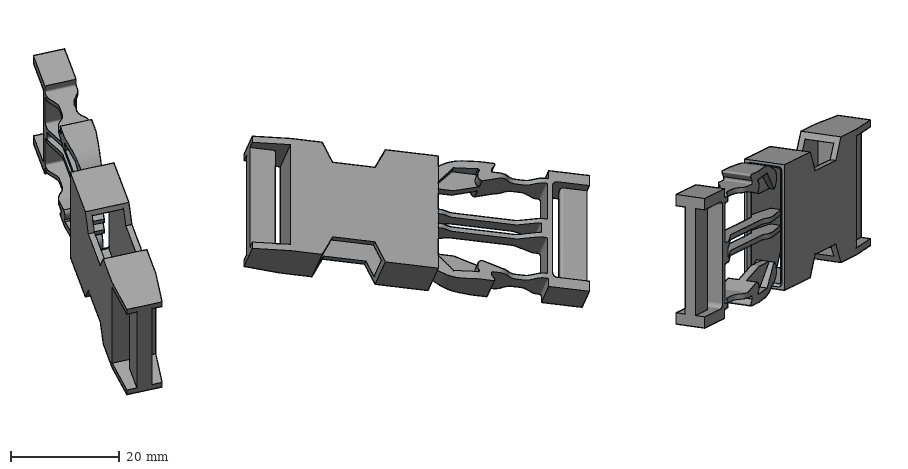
import cadquery as cq

LENGTH = 64.1
OVERALL_Y = 8.4
OVERALL_Z = 25.2

PLUG_HALF_Y = 3.0
FRAME_HALF_Z = 12.45
FRAME_END_X = 7.75
WINDOW_END_X = 7.0
WINDOW_HALF_Z = 10.25
WINDOW_CORNER_R = 0.9
CROSS_WALL_END_X = 7.95
PLUG_BAR_END_X = 5.0
PLUG_BAR_HALF_Y = 1.1
PLUG_BAR_EDGE_R = 0.5
ROOT_R = 0.4

ARM_TOP_Z = 10.7
ARM_BOTTOM_Z = 9.7
ARM_SLOPE_X = 16.7
HEAD_TOP_Z = OVERALL_Z / 2
HEAD_BOTTOM_Z = 7.0
HEAD_BOTTOM_X = 25.3
BARB_TIP_X = 17.75
BARB_EDGE_R = 0.25
BARB_ROOT_X = 18.6
BARB_ROOT_Z = 11.35
NOSE_ARC_X = 24.1
NOSE_SHOULDER = (27.9, 11.55)
NOSE_SHOULDER_MID = (26.0, 12.3)
NOSE_BEND = (29.75, 10.6)
NOSE_TIP = (30.65, 8.6)
NOSE_BOTTOM_X = 29.3
WAIST_HALF_Y = 1.4
WAIST_IN_X = (9.15, 11.5)
WAIST_OUT_X = (14.55, 16.15)
WAIST_IN_R = 1.8
WAIST_OUT_R = 2.4
HEAD_TAPER_X = 21.15
NOSE_END_X = 31.7
NOSE_END_HALF_Y = 1.5
WEB_HALF_Y = 0.85
POCKET_TOP_Z = 11.0
POCKET_TOP_X = 25.65
POCKET_HEEL = (20.4, 8.5)
POCKET_HEEL_MID = (20.95, 8.85)
POCKET_BULGE = (21.2, 9.55)
POCKET_SHOULDER_MID = (21.15, 10.2)
POCKET_SHOULDER = (20.9, 10.8)

PRONG_OUTER_Z = 2.0
PRONG_SLOT_HALF_Z = 1.0
PRONG_SLOT_X = 9.1
PRONG_HALF_Y = 1.2
PRONG_NECK_X = (9.4, 13.4)
PRONG_SWELL_X = (25.95, 27.8)
PRONG_SWELL_HALF_Y = 2.05
PRONG_TIP_X = 33.3
PRONG_TIP_HALF_Y = 1.1
PRONG_NECK_R = 1.6
PRONG_SWELL_R = 2.4

SOCKET_X = 29.0
SOCKET_HALF_Y = OVERALL_Y / 2
SOCKET_HALF_Z = 12.05
SOCKET_BODY_END_X = 57.05
SOCKET_END_HALF_Y = 3.4
NOTCH_OUTER_X = (39.05, 51.0)
NOTCH_INNER_X = (41.0, 49.05)
NOTCH_HALF_Z = 8.0
CAVITY_HALF_Y = 3.0
CAVITY_HALF_Z = 11.1
CAVITY_DEEP_HALF_Z = 10.85
CAVITY_STEP_X = 44.9
CAVITY_END_X = 55.6
MOUTH_DEPTH = 0.65
MOUTH_HALF_Y = 3.65
MOUTH_STEP_Y = 0.2
MOUTH_FLARE = MOUTH_HALF_Y - CAVITY_HALF_Y - MOUTH_STEP_Y
MOUTH_CORNER_R = 1.0
SOCKET_STRAP_HALF_Z = 10.7
SOCKET_BAR_X = 59.3
SOCKET_BAR_HALF_Y = 1.5


def box(x0, x1, half_y, z0, z1):
    """Block centred on Y between the given X and Z limits."""
    return (
        cq.Workplane("XY")
        .box(x1 - x0, 2 * half_y, z1 - z0, centered=(False, True, False))
        .translate((x0, 0, z0))
    )


def plan_prism(half_outline, z0, z1):
    """Prism along Z whose plan is mirrored about Y = 0; half_outline is (x, half width) points."""
    mirrored = [(x, -y) for x, y in reversed(half_outline)]
    return cq.Workplane("XY").workplane(offset=z0).polyline(half_outline + mirrored).close().extrude(z1 - z0)


def round_edges(body, axis, points, radius):
    """Fillet, one by one, the edges parallel to axis that lie nearest the given points."""
    for point in points:
        nearest = cq.selectors.NearestToPointSelector(point)
        body = body.edges("|" + axis).edges(nearest).fillet(radius)
    return body


def both_sides(x, half_y, z):
    return [(x, half_y, z), (x, -half_y, z)]


def make_strap_frame():
    ears = box(0, FRAME_END_X, PLUG_HALF_Y, -FRAME_HALF_Z, FRAME_HALF_Z)
    wall = box(WINDOW_END_X, CROSS_WALL_END_X, PLUG_HALF_Y, -ARM_TOP_Z, ARM_TOP_Z)
    window = box(0, WINDOW_END_X, PLUG_HALF_Y, -WINDOW_HALF_Z, WINDOW_HALF_Z)
    window = window.edges("|Y and >X").fillet(WINDOW_CORNER_R)
    bar = box(0, PLUG_BAR_END_X, PLUG_BAR_HALF_Y, -WINDOW_HALF_Z, WINDOW_HALF_Z)
    bar = bar.edges("|Z and >X").fillet(PLUG_BAR_EDGE_R)
    return ears.union(wall).cut(window).union(bar)


def make_arm_plan():
    """Plan of an arm: full width, a narrow flexing waist, full width, then a tapered nose."""
    z_mid = (HEAD_TOP_Z + HEAD_BOTTOM_Z) / 2
    plan = plan_prism(
        [
            (WINDOW_END_X, PLUG_HALF_Y),
            (WAIST_IN_X[0], PLUG_HALF_Y),
            (WAIST_IN_X[1], WAIST_HALF_Y),
            (WAIST_OUT_X[0], WAIST_HALF_Y),
            (WAIST_OUT_X[1], PLUG_HALF_Y),
            (HEAD_TAPER_X, PLUG_HALF_Y),
            (NOSE_END_X, NOSE_END_HALF_Y),
        ],
        HEAD_BOTTOM_Z,
        HEAD_TOP_Z,
    )
    bends_in = both_sides(WAIST_IN_X[0], PLUG_HALF_Y, z_mid) + both_sides(WAIST_IN_X[1], WAIST_HALF_Y, z_mid)
    bends_out = both_sides(WAIST_OUT_X[0], WAIST_HALF_Y, z_mid) + both_sides(WAIST_OUT_X[1], PLUG_HALF_Y, z_mid)
    plan = round_edges(plan, "Z", bends_in, WAIST_IN_R)
    return round_edges(plan, "Z", bends_out, WAIST_OUT_R)


def make_arm_profile():
    """Side profile of the upper arm: thin strip, undercut barb and rounded nose."""
    profile = (
        cq.Workplane("XZ")
        .moveTo(WINDOW_END_X, ARM_TOP_Z)
        .lineTo(BARB_ROOT_X, ARM_TOP_Z)
        .lineTo(BARB_ROOT_X, BARB_ROOT_Z)
        .lineTo(BARB_TIP_X, HEAD_TOP_Z)
        .lineTo(NOSE_ARC_X, HEAD_TOP_Z)
        .threePointArc(NOSE_SHOULDER_MID, NOSE_SHOULDER)
        .lineTo(*NOSE_BEND)
        .threePointArc(NOSE_TIP, (NOSE_BOTTOM_X, HEAD_BOTTOM_Z))
        .lineTo(HEAD_BOTTOM_X, HEAD_BOTTOM_Z)
        .lineTo(ARM_SLOPE_X, ARM_BOTTOM_Z)
        .lineTo(WINDOW_END_X, ARM_BOTTOM_Z)
        .close()
        .extrude(PLUG_HALF_Y, both=True)
    )
    barb_edges = [(BARB_TIP_X, 0, HEAD_TOP_Z), (BARB_ROOT_X, 0, ARM_TOP_Z)]
    return round_edges(profile, "Y", barb_edges, BARB_EDGE_R)


def make_head_pockets():
    """Recesses in both flanks of the head, open towards the inside and leaving a thin web."""
    pockets = (
        cq.Workplane("XZ")
        .moveTo(*POCKET_HEEL)
        .threePointArc(POCKET_HEEL_MID, POCKET_BULGE)
        .threePointArc(POCKET_SHOULDER_MID, POCKET_SHOULDER)
        .lineTo(HEAD_TAPER_X, POCKET_TOP_Z)
        .lineTo(POCKET_TOP_X, POCKET_TOP_Z)
        .lineTo(NOSE_BOTTOM_X, HEAD_BOTTOM_Z)
        .lineTo(POCKET_HEEL[0], HEAD_BOTTOM_Z)
        .close()
        .extrude(PLUG_HALF_Y, both=True)
    )
    web = box(POCKET_HEEL[0], NOSE_BOTTOM_X, WEB_HALF_Y, HEAD_BOTTOM_Z, POCKET_TOP_Z)
    return pockets.cut(web)


def make_arm():
    return make_arm_profile().intersect(make_arm_plan()).cut(make_head_pockets())


def make_prongs():
    """Two parallel guide prongs that share one plan and one root block."""
    prongs = plan_prism(
        [
            (WINDOW_END_X, PLUG_HALF_Y),
            (PRONG_NECK_X[0], PLUG_HALF_Y),
            (PRONG_NECK_X[1], PRONG_HALF_Y),
            (PRONG_SWELL_X[0], PRONG_HALF_Y),
            (PRONG_SWELL_X[1], PRONG_SWELL_HALF_Y),
            (PRONG_TIP_X, PRONG_TIP_HALF_Y),
        ],
        -PRONG_OUTER_Z,
        PRONG_OUTER_Z,
    )
    neck = both_sides(PRONG_NECK_X[0], PLUG_HALF_Y, 0) + both_sides(PRONG_NECK_X[1], PRONG_HALF_Y, 0)
    swell_start = both_sides(PRONG_SWELL_X[0], PRONG_HALF_Y, 0)
    swell_peak = both_sides(PRONG_SWELL_X[1], PRONG_SWELL_HALF_Y, 0)
    prongs = round_edges(prongs, "Z", neck, PRONG_NECK_R)
    prongs = round_edges(prongs, "Z", swell_start + swell_peak, PRONG_SWELL_R)
    slot = box(PRONG_SLOT_X, PRONG_TIP_X, PLUG_HALF_Y, -PRONG_SLOT_HALF_Z, PRONG_SLOT_HALF_Z)
    slot = slot.edges("|Y and <X").fillet(ROOT_R)
    return prongs.cut(slot)


def make_plug():
    arm = make_arm()
    plug = make_strap_frame().union(arm).union(arm.mirror("XY")).union(make_prongs())
    roots = []
    for side in (1, -1):
        roots.append((FRAME_END_X, 0, side * ARM_TOP_Z))
        roots.append((CROSS_WALL_END_X, 0, side * ARM_BOTTOM_Z))
        roots.append((CROSS_WALL_END_X, 0, side * PRONG_OUTER_Z))
    return round_edges(plug, "Y", roots, ROOT_R)


def make_socket_shell():
    """Outer block with tapered strap end and a finger notch in each narrow side."""
    shell = plan_prism(
        [
            (SOCKET_X, SOCKET_HALF_Y),
            (SOCKET_BODY_END_X, SOCKET_HALF_Y),
            (LENGTH, SOCKET_END_HALF_Y),
        ],
        -SOCKET_HALF_Z,
        SOCKET_HALF_Z,
    )
    notch = (
        cq.Workplane("XZ")
        .polyline(
            [
                (NOTCH_OUTER_X[0], SOCKET_HALF_Z),
                (NOTCH_INNER_X[0], NOTCH_HALF_Z),
                (NOTCH_INNER_X[1], NOTCH_HALF_Z),
                (NOTCH_OUTER_X[1], SOCKET_HALF_Z),
            ]
        )
        .close()
        .extrude(SOCKET_HALF_Y, both=True)
    )
    return shell.cut(notch).cut(notch.mirror("XY"))


def make_cavity():
    """Latch chamber, which becomes shallower in Z between the notches."""
    front = box(SOCKET_X, CAVITY_STEP_X, CAVITY_HALF_Y, -CAVITY_HALF_Z, CAVITY_HALF_Z)
    deep = box(CAVITY_STEP_X, CAVITY_END_X, CAVITY_HALF_Y, -CAVITY_DEEP_HALF_Z, CAVITY_DEEP_HALF_Z)
    return front.union(deep)


def make_mouth():
    """Flared lead-in that ends slightly wider than the chamber."""
    throat_half_y = MOUTH_HALF_Y - MOUTH_FLARE
    mouth_half_z = CAVITY_HALF_Z + MOUTH_FLARE
    return (
        cq.Workplane("YZ")
        .workplane(offset=SOCKET_X)
        .rect(2 * MOUTH_HALF_Y, 2 * mouth_half_z)
        .workplane(offset=MOUTH_DEPTH)
        .rect(2 * throat_half_y, 2 * CAVITY_HALF_Z)
        .loft(ruled=True)
        .edges("not(#X)")
        .fillet(MOUTH_CORNER_R)
    )


def make_socket():
    strap_gap = box(SOCKET_BODY_END_X, LENGTH, SOCKET_HALF_Y, -SOCKET_STRAP_HALF_Z, SOCKET_STRAP_HALF_Z)
    bar = box(SOCKET_BAR_X, LENGTH, SOCKET_BAR_HALF_Y, -SOCKET_STRAP_HALF_Z, SOCKET_STRAP_HALF_Z)
    return make_socket_shell().cut(make_cavity()).cut(make_mouth()).cut(strap_gap).union(bar)


plug = make_plug()
socket = make_socket()
result = cq.Compound.makeCompound([plug.val(), socket.val()])